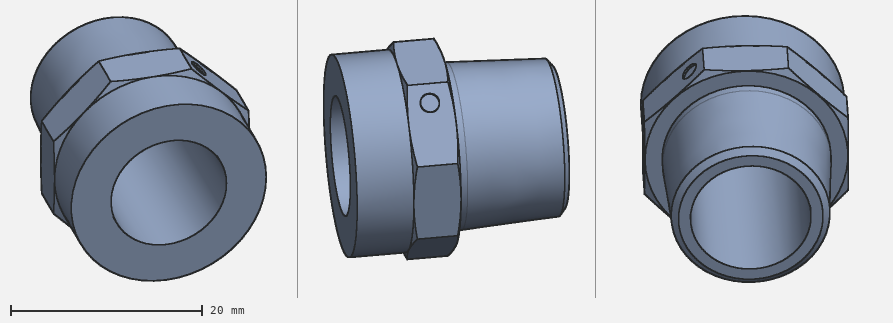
import cadquery as cq
import math

total_length = 23.0
bore_diameter = 12.6

tip_diameter = 15.1
taper_start_diameter = 16.6
collar_diameter = 17.65
tip_chamfer_length = 0.62
taper_end = 11.02

octagon_start = 11.98
octagon_end = 17.0
across_flats = 21.3
body_diameter = across_flats
corner_chamfer_length = 0.37
front_face_diameter = 21.2

mark_diameter = 2.0
mark_depth = 0.23
mark_offset = 2.35
flat_tilt = 45.0

octagon_length = octagon_end - octagon_start
across_corners = across_flats / math.cos(math.pi / 8)


def revolve_profile(points):
    """Revolve a closed (x, radius) outline around the X axis."""
    return cq.Workplane("XY").polyline(points).close().revolve(360, (0, 0, 0), (1, 0, 0))


def make_male_end():
    return revolve_profile([
        (0, 0),
        (0, tip_diameter / 2),
        (tip_chamfer_length, taper_start_diameter / 2),
        (taper_end, collar_diameter / 2),
        (octagon_start, collar_diameter / 2),
        (octagon_start, 0),
    ])


def make_octagon():
    """Octagonal prism with its corners trimmed by a cone at each end."""
    prism = (
        cq.Workplane("YZ", origin=(octagon_start, 0, 0))
        .transformed(rotate=(0, 0, 180 / 8))
        .polygon(8, across_corners)
        .extrude(octagon_length)
    )
    trim = revolve_profile([
        (octagon_start, 0),
        (octagon_start, front_face_diameter / 2),
        (octagon_start + corner_chamfer_length, across_corners / 2),
        (octagon_end - corner_chamfer_length, across_corners / 2),
        (octagon_end, body_diameter / 2),
        (octagon_end, 0),
    ])
    return prism.intersect(trim)


def make_body():
    return (
        cq.Workplane("YZ", origin=(octagon_end, 0, 0))
        .circle(body_diameter / 2)
        .extrude(total_length - octagon_end)
    )


def make_mark():
    """Shallow cutter, placed on the top flat and then turned onto the tilted one."""
    octagon_middle = (octagon_start + octagon_end) / 2
    return (
        cq.Workplane("XY", origin=(octagon_middle, -mark_offset, across_flats / 2))
        .circle(mark_diameter / 2)
        .extrude(-mark_depth)
        .rotate((0, 0, 0), (1, 0, 0), -flat_tilt)
    )


bore = cq.Workplane("YZ").circle(bore_diameter / 2).extrude(total_length)

result = make_male_end().union(make_octagon()).union(make_body()).cut(bore).cut(make_mark())